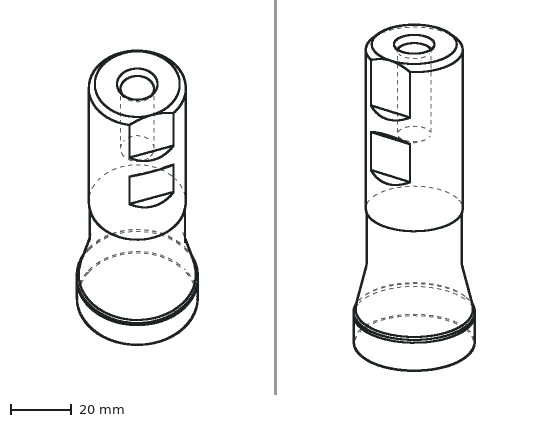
import cadquery as cq
import math

total_height = 111.0
collar_radius = 20.0

shank_radius = 32.0 / 2
shank_bottom = 50.0
top_chamfer = 2.0
neck_radius = 31.4 / 2
neck_relief_bottom = 49.0

seat_radius = 38.5 / 2
flare_top = 28.6
flare_bottom = 13.7
flare_blend_radius = 5.5
seat_bottom = 12.4

collar_chamfer = collar_radius - seat_radius
joint_height = 10.7

head_taper_start = 1.7
head_taper_end = 1.0
head_taper_inset = 0.05
head_bottom_chamfer = 0.3

flat_distance = 14.0
flat_direction = -45.0
flat_spans = [
    (92.1, total_height + shank_radius),
    (68.2, 82.3),
]

hole_radius = 11.0 / 2
hole_depth = 33.3
hole_tip_angle = 118.0
hole_mouth_radius = 6.7
hole_mouth_depth = 2.4


def make_holder_blank():
    """Turned body: shank, neck, flare, seat and the upper rim of the collar."""
    blank = (
        cq.Workplane("XZ")
        .moveTo(0, joint_height)
        .lineTo(collar_radius, joint_height)
        .lineTo(collar_radius, seat_bottom - collar_chamfer)
        .lineTo(seat_radius, seat_bottom)
        .lineTo(seat_radius, flare_bottom)
        .lineTo(neck_radius, flare_top)
        .lineTo(neck_radius, neck_relief_bottom)
        .tangentArcPoint((shank_radius, shank_bottom), relative=False)
        .lineTo(shank_radius, total_height - top_chamfer)
        .lineTo(shank_radius - top_chamfer, total_height)
        .lineTo(0, total_height)
        .close()
        .revolve(360, (0, 0, 0), (0, 1, 0))
    )
    flare_edges = [
        edge for edge in blank.edges("%CIRCLE").vals()
        if min(abs(edge.Center().z - flare_top), abs(edge.Center().z - flare_bottom)) < 0.01
    ]
    return blank.newObject(flare_edges).fillet(flare_blend_radius)


def make_hole():
    """Blind drilled hole with a conical mouth and a drill-point bottom."""
    floor = total_height - hole_depth
    tip_length = hole_radius / math.tan(math.radians(hole_tip_angle / 2))
    return (
        cq.Workplane("XZ")
        .moveTo(0, floor - tip_length)
        .lineTo(hole_radius, floor)
        .lineTo(hole_radius, total_height - hole_mouth_depth)
        .lineTo(hole_mouth_radius, total_height)
        .lineTo(0, total_height)
        .close()
        .revolve(360, (0, 0, 0), (0, 1, 0))
    )


def make_flat_cutter(floor_bottom, floor_top):
    """Prism that cuts one flat with 45 degree ramps at its ends."""
    reach = collar_radius - flat_distance
    return (
        cq.Workplane("XZ")
        .moveTo(flat_distance, floor_bottom)
        .lineTo(flat_distance + reach, floor_bottom - reach)
        .lineTo(flat_distance + reach, floor_top + reach)
        .lineTo(flat_distance, floor_top)
        .close()
        .extrude(shank_radius, both=True)
        .rotate((0, 0, 0), (0, 0, 1), flat_direction)
    )


def make_holder():
    holder = make_holder_blank().cut(make_hole())
    for floor_bottom, floor_top in flat_spans:
        holder = holder.cut(make_flat_cutter(floor_bottom, floor_top))
    return holder


def make_head():
    """Disc below the holder, slightly tapered and chamfered at its lower rim."""
    rim_radius = collar_radius - head_taper_inset
    return (
        cq.Workplane("XZ")
        .lineTo(rim_radius - head_bottom_chamfer, 0)
        .lineTo(rim_radius, head_bottom_chamfer)
        .lineTo(rim_radius, head_taper_end)
        .lineTo(collar_radius, head_taper_start)
        .lineTo(collar_radius, joint_height)
        .lineTo(0, joint_height)
        .close()
        .revolve(360, (0, 0, 0), (0, 1, 0))
    )


holder = make_holder()
head = make_head()

result = cq.Compound.makeCompound([holder.val(), head.val()])